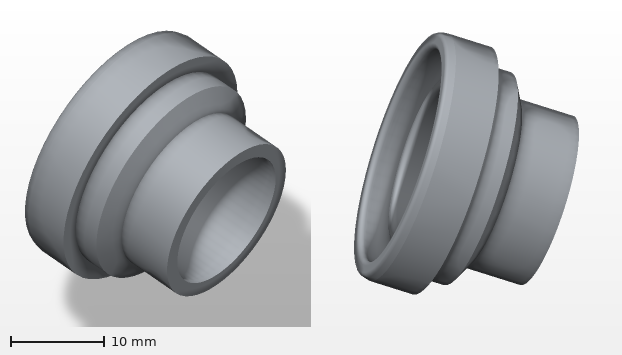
import cadquery as cq
import math

length = 17.0
head_end = 6.0
collar_end = 8.98
cone_end = 10.43

head_radius = 27.9 / 2
collar_radius = 24 / 2
tube_radius = 19.05 / 2
bore_radius = 15.75 / 2

taper_length = 0.7
taper_angle = math.radians(15)
edge_round = 0.47

rim_inner_round = 0.5
lip_depth = 2.23
lip_outer_round = 0.53
lip_bore_round = 0.55
groove_radius = 1.67
groove_center = (1.3, 10.5)


def arc_point(center, radius, angle):
    """Point on an arc in the (axial, radial) half plane."""
    return (center[0] + radius * math.cos(angle), center[1] + radius * math.sin(angle))


def round_center(axial, radius, side):
    """Center of a round touching the groove circle; side is 1 outward, -1 toward the axis."""
    distance = groove_radius + radius
    radial_offset = math.sqrt(distance**2 - (axial - groove_center[0]) ** 2)
    return (axial, groove_center[1] + side * radial_offset)


def angle_from_groove(center):
    """Direction from the groove center to the given center."""
    return math.atan2(center[1] - groove_center[1], center[0] - groove_center[0])


taper_start = edge_round * (1 - math.sin(taper_angle))
taper_end = taper_start + taper_length
taper_start_radius = head_radius - taper_length * math.tan(taper_angle)
edge_center = (edge_round, taper_start_radius - edge_round * math.cos(taper_angle))
edge_middle_angle = (math.pi + math.pi / 2 + taper_angle) / 2

rim_center = round_center(rim_inner_round, rim_inner_round, 1)
lip_outer_center = round_center(lip_depth + lip_outer_round, lip_outer_round, -1)
lip_bore_center = (lip_depth + lip_bore_round, bore_radius + lip_bore_round)
rim_tangent_angle = angle_from_groove(rim_center)
lip_tangent_angle = angle_from_groove(lip_outer_center)
rim_middle_angle = (math.pi + math.pi + rim_tangent_angle) / 2
lip_middle_angle = (math.pi + math.pi + lip_tangent_angle) / 2
toward_axis = 5 * math.pi / 4


def half_section():
    """Closed half section: X is axial and Y is radial."""
    return (
        cq.Workplane("XY")
        .moveTo(length, bore_radius)
        .lineTo(length, tube_radius)
        .lineTo(cone_end, tube_radius)
        .lineTo(collar_end, collar_radius)
        .lineTo(head_end, collar_radius)
        .lineTo(head_end, head_radius)
        .lineTo(taper_end, head_radius)
        .lineTo(taper_start, taper_start_radius)
        .threePointArc(arc_point(edge_center, edge_round, edge_middle_angle), (0, edge_center[1]))
        .lineTo(0, rim_center[1])
        .threePointArc(
            arc_point(rim_center, rim_inner_round, rim_middle_angle),
            arc_point(groove_center, groove_radius, rim_tangent_angle),
        )
        .threePointArc(
            (groove_center[0] + groove_radius, groove_center[1]),
            arc_point(groove_center, groove_radius, lip_tangent_angle),
        )
        .threePointArc(
            arc_point(lip_outer_center, lip_outer_round, lip_middle_angle),
            (lip_depth, lip_outer_center[1]),
        )
        .lineTo(lip_depth, lip_bore_center[1])
        .threePointArc(
            arc_point(lip_bore_center, lip_bore_round, toward_axis),
            (lip_bore_center[0], bore_radius),
        )
        .close()
    )


result = half_section().revolve(360, (0, 0, 0), (1, 0, 0))